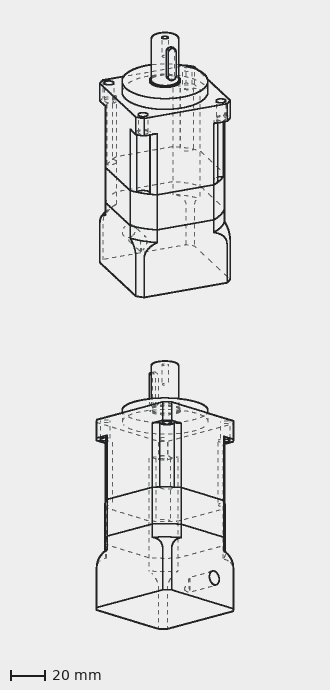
import cadquery as cq
import math

side = 60.0
total_height = 149.0
round_radius = 35.0
corner_radius = 40.0

base_top = 41.7
ring_top = 64.0
flange_bottom = 103.1
flange_top = 114.3
pilot_top = 121.1
collar_top = 121.9

pilot_radius = 25.0
collar_radius = 9.0
shaft_radius = 8.0
shaft_rounding = 1.0

shaft_hole_radius = 1.8
shaft_hole_depth = 11.9
drill_point_angle = 118

bolt_circle_radius = 35.0
bolt_hole_radius = 2.8
groove_radius = 4.2

key_width = 5.0
key_bottom = 125.8
key_top = 146.2
key_reach = 10.3

shoulder_start = 25.0
shoulder_radius = 10.0

access_hole_radius = 4.2
access_hole_y = -10.0
access_hole_z = 15.2
core_radius = 14.3


def square_prism(bottom, top):
    return cq.Workplane("XY", origin=(0, 0, bottom)).rect(side, side).extrude(top - bottom)


def cylinder(radius, bottom, top):
    return cq.Workplane("XY", origin=(0, 0, bottom)).circle(radius).extrude(top - bottom)


def rounded_square(radius, bottom, top):
    """Square prism whose corners are rounded by a cylinder about the main axis."""
    return square_prism(bottom, top).intersect(cylinder(radius, bottom, top))


def corner_cylinders(radius, bottom, top):
    """Four upright cylinders on the bolt circle, one at each corner."""
    return (
        cq.Workplane("XY", origin=(0, 0, bottom))
        .polarArray(bolt_circle_radius, 45, 360, 4)
        .circle(radius)
        .extrude(top - bottom)
    )


def make_key():
    length = key_top - key_bottom
    middle = (key_top + key_bottom) / 2
    return cq.Workplane("YZ").center(0, middle).slot2D(length, key_width, 90).extrude(key_reach)


def make_centre_hole():
    """Blind hole in the shaft end, with a drill-point bottom."""
    cone_height = shaft_hole_radius / math.tan(math.radians(drill_point_angle / 2))
    bottom = total_height - shaft_hole_depth
    return (
        cq.Workplane("XZ")
        .moveTo(0, total_height)
        .lineTo(shaft_hole_radius, total_height)
        .lineTo(shaft_hole_radius, bottom)
        .lineTo(0, bottom - cone_height)
        .close()
        .revolve(360, (0, 0, 0), (0, 1, 0))
    )


def make_shaft():
    shaft = cylinder(shaft_radius, collar_top, total_height).faces(">Z").edges().fillet(shaft_rounding)
    shaft = shaft.union(make_key())
    return shaft.cut(make_centre_hole())


def make_output_stage():
    neck = rounded_square(round_radius, ring_top, flange_bottom)
    neck = neck.cut(corner_cylinders(groove_radius, ring_top, flange_bottom))
    flange = rounded_square(corner_radius, flange_bottom, flange_top)
    flange = flange.cut(corner_cylinders(bolt_hole_radius, flange_bottom, flange_top))
    pilot = cylinder(pilot_radius, flange_top, pilot_top)
    collar = cylinder(collar_radius, pilot_top, collar_top)
    return neck.union(flange).union(pilot).union(collar).union(make_shaft())


def make_ring():
    return rounded_square(round_radius, base_top, ring_top)


def shoulder_point(angle):
    """Radius and height on the shoulder arc, at an angle above horizontal."""
    arc_centre = corner_radius - shoulder_radius
    radius = arc_centre + shoulder_radius * math.cos(angle)
    height = shoulder_start + shoulder_radius * math.sin(angle)
    return radius, height


def make_access_hole():
    """Hole from the -X side that runs in until it meets the round core."""
    hole = (
        cq.Workplane("YZ", origin=(-side / 2, 0, 0))
        .center(access_hole_y, access_hole_z)
        .circle(access_hole_radius)
        .extrude(side / 2)
    )
    return hole.cut(cylinder(core_radius, 0, base_top))


def make_base():
    arc_end_angle = math.acos(1 - (corner_radius - round_radius) / shoulder_radius)
    turned = (
        cq.Workplane("XZ")
        .lineTo(corner_radius, 0)
        .lineTo(corner_radius, shoulder_start)
        .threePointArc(shoulder_point(arc_end_angle / 2), shoulder_point(arc_end_angle))
        .lineTo(round_radius, base_top)
        .lineTo(0, base_top)
        .close()
        .revolve(360, (0, 0, 0), (0, 1, 0))
    )
    return square_prism(0, base_top).intersect(turned).cut(make_access_hole())


output_stage = make_output_stage()
ring = make_ring()
base = make_base()

result = cq.Compound.makeCompound([output_stage.val(), ring.val(), base.val()])